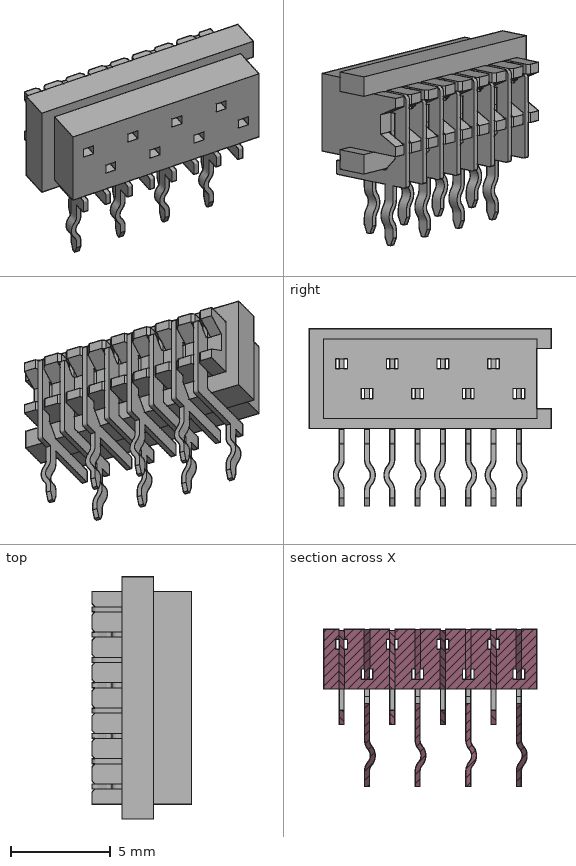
import cadquery as cq
import math


FLANGE_LENGTH = 12.16
FLANGE_THICKNESS = 1.6
FLANGE_HEIGHT = 5.01
ROW_LENGTH = 10.69
COMB_DEPTH = 1.5
COMB_HEIGHT = 3.0
REAR_DEPTH = 1.9
REAR_HEIGHT = 4.0
AXIS_Z = 3.28
GROOVE_DEPTH = 1.02
GROOVE_MOUTH = 2.0
GROOVE_FLOOR = 1.0
WINDOW_WIDTH = 0.57
SLOT_CHAMFER = 0.15

CONTACT_COUNT = 8
CONTACT_SPAN = 8.89
CONTACT_THICKNESS = 0.25
FOOT_LENGTH = 4.72
FOOT_HEIGHT = 0.73
FOOT_TIP_RADIUS = 0.1
TOP_RADIUS = 0.25
ARM_BOTTOM = 3.76

FULL_STEM_DEPTH = 0.75
FULL_GUSSET = 0.67
FULL_HEEL_RADIUS = 0.12
FULL_ARM_END_RADIUS = 0.1

NOTCHED_HEEL_RADIUS = 0.1
NOTCHED_INNER_RADIUS = 0.06
FINGER_RADIUS = 0.12
FINGER_WIDTH = 0.25
FINGER_HEIGHT = 4.28
VALLEY_START = 0.79
VALLEY_RADIUS = 0.11
SHOULDER_X = 1.0

LEG_WIDTH = 0.56
LEG_LENGTH = 3.11
LEG_ROW_PITCH = 2.54
FRONT_LEG_X = 1.15
TIP_WIDTH = 0.2
TIP_LENGTH = 0.41
KINK_TOP = -0.77
KINK_LENGTH = 1.58
KINK_OFFSET = 0.29

FLANGE_BACK = COMB_DEPTH + FLANGE_THICKNESS
HOUSING_DEPTH = FLANGE_BACK + REAR_DEPTH
COMB_TOP = AXIS_Z + COMB_HEIGHT / 2
COMB_BOTTOM = AXIS_Z - COMB_HEIGHT / 2
GROOVE_TOP = AXIS_Z + GROOVE_MOUTH / 2
GROOVE_BOTTOM = AXIS_Z - GROOVE_MOUTH / 2
PITCH = CONTACT_SPAN / (CONTACT_COUNT - 1)


def block(x_start, x_end, length, height):
    """Box centred on the row in Y and on the housing axis in Z."""
    return (
        cq.Workplane("XY")
        .box(x_end - x_start, length, height)
        .translate(((x_start + x_end) / 2, 0, AXIS_Z))
    )


def is_notched(index):
    """Notched contacts alternate with full-height ones, starting at the -Y end."""
    return index % 2 == 0


def contact_y(index):
    return -CONTACT_SPAN / 2 + index * PITCH


def groove():
    """Tapered groove along the whole face of the comb."""
    return (
        cq.Workplane("XZ")
        .polyline([
            (0, GROOVE_TOP),
            (GROOVE_DEPTH, AXIS_Z + GROOVE_FLOOR / 2),
            (GROOVE_DEPTH, AXIS_Z - GROOVE_FLOOR / 2),
            (0, GROOVE_BOTTOM),
        ])
        .close()
        .extrude(ROW_LENGTH / 2, both=True)
    )


def end_notch():
    """Opening through the +Y end of the flange, as tall as the comb."""
    notch_length = (FLANGE_LENGTH - ROW_LENGTH) / 2
    return (
        block(COMB_DEPTH, FLANGE_BACK, notch_length, COMB_HEIGHT)
        .translate((0, (ROW_LENGTH + notch_length) / 2, 0))
    )


def slot_cut(index, depth, bottom):
    """Slot for one contact from the given height up, flared at the face of the comb."""
    half = CONTACT_THICKNESS / 2
    return (
        cq.Workplane("XY", origin=(0, contact_y(index), bottom))
        .polyline([
            (0, half + SLOT_CHAMFER),
            (SLOT_CHAMFER, half),
            (depth, half),
            (depth, -half),
            (SLOT_CHAMFER, -half),
            (0, -half - SLOT_CHAMFER),
        ])
        .close()
        .extrude(COMB_TOP - bottom)
    )


def slot(index):
    """Slot through the depth of the comb; at full-height contacts it is shallower below the groove."""
    if is_notched(index):
        return slot_cut(index, COMB_DEPTH, COMB_BOTTOM)
    shallow = slot_cut(index, FULL_STEM_DEPTH, COMB_BOTTOM)
    return shallow.union(slot_cut(index, COMB_DEPTH, GROOVE_BOTTOM))


def window(index):
    """Through opening, above the groove floor at notched contacts and below it at the others."""
    height = (GROOVE_MOUTH - GROOVE_FLOOR) / 2
    offset = (GROOVE_FLOOR + height) / 2
    side = 1 if is_notched(index) else -1
    opening = block(0, HOUSING_DEPTH, WINDOW_WIDTH, height)
    return opening.translate((0, contact_y(index), side * offset))


def make_housing():
    body = (
        block(0, COMB_DEPTH, ROW_LENGTH, COMB_HEIGHT)
        .union(block(COMB_DEPTH, FLANGE_BACK, FLANGE_LENGTH, FLANGE_HEIGHT))
        .union(block(FLANGE_BACK, HOUSING_DEPTH, ROW_LENGTH, REAR_HEIGHT))
        .cut(groove())
        .cut(end_notch())
    )
    for index in range(CONTACT_COUNT):
        body = body.cut(slot(index)).cut(window(index))
    return body


def plate(points):
    """Flat sheet in the XZ plane, centred on Y = 0."""
    return cq.Workplane("XZ").polyline(points).close().extrude(CONTACT_THICKNESS / 2, both=True)


def round_corner(sheet, x, z, radius):
    """Round the edge of a sheet that runs along Y at the given corner."""
    return sheet.edges(cq.selectors.NearestToPointSelector((x, 0, z))).fillet(radius)


def solder_leg(center_x, side):
    """Tapered leg with an S-shaped kink towards the given side in Y."""
    half = CONTACT_THICKNESS / 2
    kink_mid = KINK_TOP - KINK_LENGTH / 2
    kink_end = KINK_TOP - KINK_LENGTH
    slope = 2 * math.atan(2 * KINK_OFFSET / KINK_LENGTH)
    shift_y = half * math.cos(slope)
    shift_z = half * math.sin(slope)
    bend_y = KINK_OFFSET / 2
    upper_z = (KINK_TOP + kink_mid) / 2
    lower_z = (kink_mid + kink_end) / 2

    strip = (
        cq.Workplane("YZ")
        .moveTo(half, 0)
        .lineTo(half, KINK_TOP)
        .tangentArcPoint((bend_y + shift_y, upper_z + shift_z), relative=False)
        .tangentArcPoint((bend_y + shift_y, lower_z - shift_z), relative=False)
        .tangentArcPoint((half, kink_end), relative=False)
        .lineTo(half, -LEG_LENGTH)
        .lineTo(-half, -LEG_LENGTH)
        .lineTo(-half, kink_end)
        .tangentArcPoint((bend_y - shift_y, lower_z + shift_z), relative=False)
        .tangentArcPoint((bend_y - shift_y, upper_z - shift_z), relative=False)
        .tangentArcPoint((-half, KINK_TOP), relative=False)
        .lineTo(-half, 0)
        .close()
        .extrude(LEG_WIDTH / 2, both=True)
    )
    outline = (
        cq.Workplane("XZ")
        .polyline([
            (-LEG_WIDTH / 2, 0),
            (LEG_WIDTH / 2, 0),
            (LEG_WIDTH / 2, TIP_LENGTH - LEG_LENGTH),
            (TIP_WIDTH / 2, -LEG_LENGTH),
            (-TIP_WIDTH / 2, -LEG_LENGTH),
            (-LEG_WIDTH / 2, TIP_LENGTH - LEG_LENGTH),
        ])
        .close()
        .extrude(KINK_OFFSET + CONTACT_THICKNESS, both=True)
    )
    leg = strip.intersect(outline)
    if side < 0:
        leg = leg.mirror("XZ")
    return leg.translate((center_x, 0, 0))


def stem_and_foot(stem_points, heel_radius):
    """L-shaped sheet: a stem up from the heel along the given points, and a foot along X."""
    sheet = plate([(0, 0), *stem_points, (FOOT_LENGTH, FOOT_HEIGHT), (FOOT_LENGTH, 0)])
    sheet = round_corner(sheet, 0, 0, heel_radius)
    for z in (0, FOOT_HEIGHT):
        sheet = round_corner(sheet, FOOT_LENGTH, z, FOOT_TIP_RADIUS)
    return sheet


def make_full_contact():
    """Contact folded over at the top into a tail behind its stem, with a gusset and a leg near the stem."""
    stem = [
        (0, COMB_TOP),
        (COMB_DEPTH, COMB_TOP),
        (COMB_DEPTH, GROOVE_BOTTOM),
        (GROOVE_DEPTH, GROOVE_BOTTOM),
        (GROOVE_DEPTH, ARM_BOTTOM),
        (FULL_STEM_DEPTH, ARM_BOTTOM),
        (FULL_STEM_DEPTH, FOOT_HEIGHT + FULL_GUSSET),
        (FULL_STEM_DEPTH + FULL_GUSSET, FOOT_HEIGHT),
    ]
    sheet = stem_and_foot(stem, FULL_HEEL_RADIUS)
    sheet = round_corner(sheet, 0, COMB_TOP, TOP_RADIUS)
    sheet = round_corner(sheet, COMB_DEPTH, COMB_TOP, FULL_ARM_END_RADIUS)
    return sheet.union(solder_leg(FRONT_LEG_X, 1))


def make_notched_contact():
    """Contact with a valley in its top edge, and a leg at the far end of its foot."""
    rounded_corners = [
        (0, FINGER_HEIGHT, FINGER_RADIUS),
        (FINGER_WIDTH, FINGER_HEIGHT, FINGER_RADIUS),
        (VALLEY_START, ARM_BOTTOM, VALLEY_RADIUS),
        (SHOULDER_X, ARM_BOTTOM, VALLEY_RADIUS),
        (SHOULDER_X, COMB_TOP, TOP_RADIUS),
        (GROOVE_DEPTH, FOOT_HEIGHT, NOTCHED_INNER_RADIUS),
    ]
    top_edge = [(x, z) for x, z, _ in rounded_corners[:-1]]
    back_edge = [
        (COMB_DEPTH, COMB_TOP),
        (COMB_DEPTH, COMB_BOTTOM),
        (GROOVE_DEPTH, COMB_BOTTOM),
        (GROOVE_DEPTH, FOOT_HEIGHT),
    ]
    sheet = stem_and_foot(top_edge + back_edge, NOTCHED_HEEL_RADIUS)
    for x, z, radius in rounded_corners:
        sheet = round_corner(sheet, x, z, radius)
    return sheet.union(solder_leg(FRONT_LEG_X + LEG_ROW_PITCH, -1))


housing = make_housing()

contacts = []
for index in range(CONTACT_COUNT):
    contact = make_notched_contact() if is_notched(index) else make_full_contact()
    contacts.append(contact.translate((0, contact_y(index), 0)).val())

result = cq.Compound.makeCompound([housing.val(), *contacts])